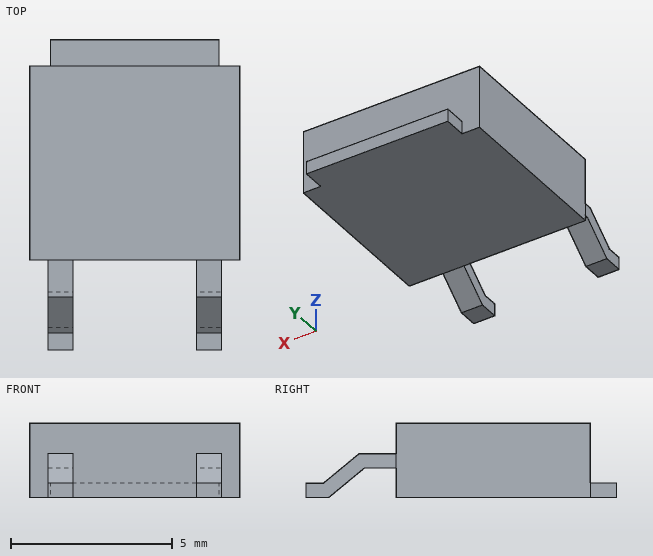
import cadquery as cq

body_width = 6.5
body_length = 6.01
body_height = 2.3

tab_width = 5.21
tab_length = 0.81
tab_thickness = 0.46

lead_pitch = 4.59
lead_width = 0.78
lead_length = 2.78
lead_thickness = 0.45
lead_top = 1.36
upper_run_top = 1.14
foot_run_top = 0.54
bend_offset = 0.16

front_y = -body_length / 2
back_y = body_length / 2


def make_body():
    return cq.Workplane("XY").box(body_width, body_length, body_height, centered=(True, True, False))


def make_tab():
    return (
        cq.Workplane("XY")
        .box(tab_width, tab_length, tab_thickness, centered=(True, False, False))
        .translate((0, back_y, 0))
    )


def make_lead(center_x):
    """Gull-wing lead: level out of the body, sloping down to a flat foot."""
    tip_y = front_y - lead_length
    upper_bend_y = front_y - upper_run_top
    foot_bend_y = tip_y + foot_run_top
    lead_bottom = lead_top - lead_thickness
    profile = [
        (front_y, lead_top),
        (upper_bend_y, lead_top),
        (foot_bend_y, lead_thickness),
        (tip_y, lead_thickness),
        (tip_y, 0),
        (foot_bend_y + bend_offset, 0),
        (upper_bend_y + bend_offset, lead_bottom),
        (front_y, lead_bottom),
    ]
    return (
        cq.Workplane("YZ")
        .polyline(profile)
        .close()
        .extrude(lead_width / 2, both=True)
        .translate((center_x, 0, 0))
    )


result = make_body().union(make_tab())
for side in (-1, 1):
    result = result.union(make_lead(side * lead_pitch / 2))